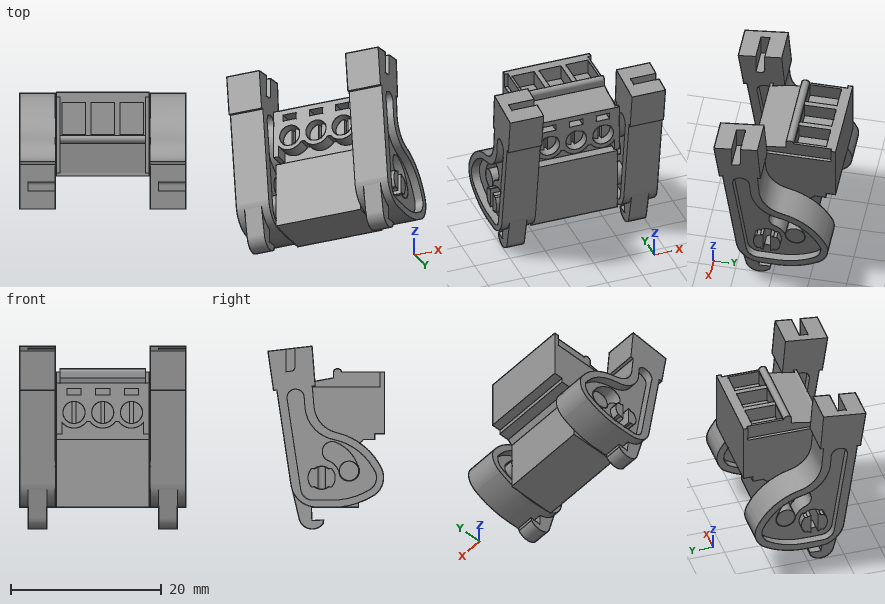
import cadquery as cq
import math


POLE_PITCH = 3.81
POLE_XS = [-POLE_PITCH, 0.0, POLE_PITCH]

HOUSING_WIDTH = 12.26
HOUSING_BACK_Y = 11.13
HOUSING_TOP_Z = 17.95
LOWER_FRONT_Y = 0.73
LEDGE_Z = 8.99
REAR_FOOT_Y = 7.68
REAR_CHAMFER = 0.65
REAR_STEP_Y = 9.82
REAR_STEP_Z = 9.75
PANEL_THICKNESS = 0.41
PANEL_TOP_Z = 16.45
SHOULDER_Z = 15.97
SHOULDER_WIDTH = 0.44
BACK_STRIP_Y = 10.50
BEAD_FRONT_Y = 4.34
BEAD_BACK_Y = 5.42
BEAD_HEIGHT = 0.45
BEAD_FOOT_Z = 17.17

POCKET_WIDTH = 3.11
POCKET_FRONT_Y = 5.49
POCKET_BACK_Y = 9.75
POCKET_DEPTH = 2.02
CLAMP_TOP_Z = HOUSING_TOP_Z - POCKET_DEPTH
TEST_SLOT_WIDTH = 1.88
TEST_SLOT_BOTTOM_Z = 14.87
TEST_SLOT_TOP_Z = 15.74
TEST_SLOT_DEPTH = 2.0

SCREW_Z = 12.58
SCREW_RADIUS = 1.46
SCREW_SUNK = 1.29
SCREW_SLOT_WIDTH = 0.48
SCREW_SLOT_DEPTH = 0.6
SCALLOP_RADIUS = 2.07
OPENING_DEPTH_Y = 2.03
OPENING_HALF_WIDTH = 5.43
OPENING_TOP_Z = 11.38
CLAMP_BOTTOM_Z = SCREW_Z - SCALLOP_RADIUS

OVERALL_WIDTH = 22.02
LEVER_WIDTH = 4.74
LEVER_XS = [-(OVERALL_WIDTH - LEVER_WIDTH) / 2, (OVERALL_WIDTH - LEVER_WIDTH) / 2]
PLATE_THICKNESS = 2.48
RECESS_DEPTH = (LEVER_WIDTH - PLATE_THICKNESS) / 2

RIM = 0.95
SHANK_RIM = 1.20
LEAN = math.radians(8.45)
NECK_LEAN = math.radians(5.0)
BACK_CENTER = (2.78, 1.29)
BACK_END_ANGLE = 30.0
NOSE_CENTER = (8.19, 3.95)
NOSE_RADIUS = 2.81
NOSE_START_ANGLE = 23.3
SOLE_CENTER = (4.20, 10.45)
CORNER_CENTER = (2.12, 3.50)
CORNER_RADIUS = 3.45
BEND_CENTER = (5.65, 13.70)
BEND_RADIUS = 3.90
RECESS_BEND_CENTER = (5.30, 13.65)
RECESS_BEND_RADIUS = 4.75
RECESS_CORNER_RADIUS = 1.60
RECESS_TOP_CENTER = (-0.67, 14.53)
RECESS_TOP_RADIUS = 1.14

HEAD_TOP_BACK = (1.52, 21.375)
HEAD_TOP_FRONT = (-4.35, 20.69)
HEAD_BOTTOM_FRONT = (-3.60, 15.49)
HEAD_BOTTOM_BACK = (1.94, 16.12)
NECK_TOP = (1.535, 16.07)
SHANK_TOP = (-3.17, 15.54)

HEAD_SLOT_BACK_Y = -0.77
HEAD_SLOT_WIDTH = 1.20
HEAD_SLOT_DEPTH = 3.0
HEAD_SLOT_FILLET = 0.48
TOP_OVERSHOOT = 1.0

HOOK_CENTER = (1.54, -1.075)
HOOK_RADIUS = 1.80
HOOK_LEAN = math.radians(12.5)
HOOK_ROOT_FRONT = (-1.145, 2.42)
HOOK_ROOT_BACK = (1.35, 2.39)
HOOK_THROAT = (1.51, -1.72)
HOOK_TIP = (3.06, -1.64)
HOOK_TIP_ANGLE = -36.0

PIVOT = (2.77, 3.93)
PIVOT_RADIUS = 1.50
PIVOT_HOLE_RADIUS = 1.54
PIVOT_SLIT = 0.98
LIP_RADIUS = 1.80
LIP_HALF_HEIGHT = 1.20
LIP_LENGTH = 1.05
GUIDE = (6.41, 4.84)
GUIDE_RADIUS = 1.29
GUIDE_HOLE_RADIUS = 1.36
TRACK_HALF_WIDTH = 1.315
TRACK_END_ANGLE = 68.0

PLATE_OUTER_X = OVERALL_WIDTH / 2 - RECESS_DEPTH


def polar(center, radius, degrees):
    angle = math.radians(degrees)
    return (center[0] + radius * math.cos(angle), center[1] + radius * math.sin(angle))


def angle_to(start, end):
    return math.degrees(math.atan2(end[1] - start[1], end[0] - start[0]))


def box(x_range, y_range, z_range):
    size = [high - low for low, high in (x_range, y_range, z_range)]
    corner = (x_range[0], y_range[0], z_range[0])
    return cq.Workplane("XY").box(*size, centered=False).translate(corner)


def rod(center, radius, x_start, x_end):
    """Cylinder along X around a (y, z) point."""
    return cq.Workplane("YZ", origin=(x_start, 0, 0)).center(*center).circle(radius).extrude(x_end - x_start)


def arc_on(path, center, radius, start, end):
    """Continue a path along a circle from one angle to another."""
    return path.threePointArc(polar(center, radius, (start + end) / 2), polar(center, radius, end))


def cam_path(x, bend_center, bend_radius, rim, corner_center, corner_radius):
    """Open outline from the neck around the cam to the foot of the front edge."""
    back_radius = math.dist(bend_center, BACK_CENTER) - bend_radius
    nose_radius = NOSE_RADIUS - rim
    sole_radius = math.dist(SOLE_CENTER, NOSE_CENTER) + nose_radius
    neck_angle = 180 + math.degrees(NECK_LEAN)
    back_angle = angle_to(BACK_CENTER, bend_center)
    sole_angle = angle_to(SOLE_CENTER, NOSE_CENTER)
    front_angle = -180 + math.degrees(LEAN)

    path = cq.Workplane("YZ", origin=(x, 0, 0)).moveTo(*polar(bend_center, bend_radius, neck_angle))
    path = arc_on(path, bend_center, bend_radius, neck_angle, back_angle + 180)
    path = arc_on(path, BACK_CENTER, back_radius, back_angle, BACK_END_ANGLE)
    path = path.lineTo(*polar(NOSE_CENTER, nose_radius, NOSE_START_ANGLE))
    path = arc_on(path, NOSE_CENTER, nose_radius, NOSE_START_ANGLE, sole_angle)
    path = arc_on(path, SOLE_CENTER, sole_radius, sole_angle, -90)
    path = path.lineTo(*polar(corner_center, corner_radius, -90))
    return arc_on(path, corner_center, corner_radius, -90, front_angle)


def lever_blank(x):
    path = cam_path(x, BEND_CENTER, BEND_RADIUS, 0.0, CORNER_CENTER, CORNER_RADIUS)
    head = [SHANK_TOP, HEAD_BOTTOM_FRONT, HEAD_TOP_FRONT, HEAD_TOP_BACK, HEAD_BOTTOM_BACK, NECK_TOP]
    for point in head:
        path = path.lineTo(*point)
    return path.close().extrude(LEVER_WIDTH)


def recess(x):
    """Pocket inside the rim, one RECESS_DEPTH deep from x."""
    sole_z = SOLE_CENTER[1] - math.dist(SOLE_CENTER, NOSE_CENTER) - NOSE_RADIUS + RIM
    corner_z = sole_z + RECESS_CORNER_RADIUS
    foot_y = CORNER_CENTER[0] - (CORNER_RADIUS - SHANK_RIM - RECESS_CORNER_RADIUS) / math.cos(LEAN)
    corner = (foot_y + (CORNER_CENTER[1] - corner_z) * math.tan(LEAN), corner_z)

    path = cam_path(x, RECESS_BEND_CENTER, RECESS_BEND_RADIUS, RIM, corner, RECESS_CORNER_RADIUS)
    front_angle = 180 + math.degrees(LEAN)
    neck_angle = math.degrees(NECK_LEAN)
    path = path.lineTo(*polar(RECESS_TOP_CENTER, RECESS_TOP_RADIUS, front_angle))
    path = arc_on(path, RECESS_TOP_CENTER, RECESS_TOP_RADIUS, front_angle, neck_angle)
    return path.close().extrude(RECESS_DEPTH)


def hook(x):
    front_angle = 180 + math.degrees(HOOK_LEAN)
    path = cq.Workplane("YZ", origin=(x, 0, 0)).moveTo(*HOOK_ROOT_FRONT)
    path = path.lineTo(*polar(HOOK_CENTER, HOOK_RADIUS, front_angle))
    path = arc_on(path, HOOK_CENTER, HOOK_RADIUS, front_angle, 360 + HOOK_TIP_ANGLE)
    for point in (HOOK_TIP, HOOK_THROAT, HOOK_ROOT_BACK):
        path = path.lineTo(*point)
    return path.close().extrude(PLATE_THICKNESS)


def guide_track(x):
    """Arched slot about the pivot in which the guide pin travels, with a round seat for the pin."""
    track_radius = math.dist(PIVOT, GUIDE)
    start = angle_to(PIVOT, GUIDE)
    middle = (start + TRACK_END_ANGLE) / 2
    inner = track_radius - TRACK_HALF_WIDTH
    outer = track_radius + TRACK_HALF_WIDTH
    far_end = polar(polar(PIVOT, track_radius, TRACK_END_ANGLE), TRACK_HALF_WIDTH, TRACK_END_ANGLE + 90)
    near_end = polar(GUIDE, TRACK_HALF_WIDTH, start - 90)
    track = (
        cq.Workplane("YZ", origin=(x, 0, 0))
        .moveTo(*polar(PIVOT, inner, start))
        .threePointArc(polar(PIVOT, inner, middle), polar(PIVOT, inner, TRACK_END_ANGLE))
        .threePointArc(far_end, polar(PIVOT, outer, TRACK_END_ANGLE))
        .threePointArc(polar(PIVOT, outer, middle), polar(PIVOT, outer, start))
        .threePointArc(near_end, polar(PIVOT, inner, start))
        .close()
        .extrude(LEVER_WIDTH)
    )
    return track.union(rod(GUIDE, GUIDE_HOLE_RADIUS, x, x + LEVER_WIDTH))


def head_slot(x_start, x_end):
    """Upright slot in the head, its floor parallel to the head's top face and filleted at the rear."""
    top_angle = angle_to(HEAD_TOP_FRONT, HEAD_TOP_BACK)
    slope = math.tan(math.radians(top_angle))
    front_y = HEAD_SLOT_BACK_Y - HEAD_SLOT_WIDTH
    open_z = HEAD_TOP_BACK[1] + TOP_OVERSHOOT
    floor_z = HEAD_TOP_FRONT[1] + slope * (front_y - HEAD_TOP_FRONT[0]) - HEAD_SLOT_DEPTH
    fillet_y = HEAD_SLOT_BACK_Y - HEAD_SLOT_FILLET
    fillet_z = floor_z + slope * (fillet_y - front_y) + HEAD_SLOT_FILLET / math.cos(math.radians(top_angle))
    fillet_center = (fillet_y, fillet_z)
    floor_angle = top_angle - 90

    path = cq.Workplane("YZ", origin=(x_start, 0, 0)).moveTo(front_y, open_z).lineTo(front_y, floor_z)
    path = path.lineTo(*polar(fillet_center, HEAD_SLOT_FILLET, floor_angle))
    path = arc_on(path, fillet_center, HEAD_SLOT_FILLET, floor_angle, 0)
    return path.lineTo(HEAD_SLOT_BACK_Y, open_z).close().extrude(x_end - x_start)


def make_lever(center_x):
    left = center_x - LEVER_WIDTH / 2
    right = center_x + LEVER_WIDTH / 2
    plate_left = left + RECESS_DEPTH
    body = lever_blank(left).union(hook(plate_left))
    body = body.cut(recess(left)).cut(recess(right - RECESS_DEPTH))
    body = body.cut(rod(PIVOT, PIVOT_HOLE_RADIUS, left, right))
    body = body.cut(guide_track(left))
    return body.cut(head_slot(plate_left, right))


def housing_lower():
    """Full width block up to the shoulders, with the stepped and chamfered rear."""
    half = HOUSING_WIDTH / 2
    outline = [
        (LOWER_FRONT_Y, 0),
        (REAR_FOOT_Y, 0),
        (REAR_FOOT_Y, LEDGE_Z - REAR_CHAMFER),
        (REAR_FOOT_Y + REAR_CHAMFER, LEDGE_Z),
        (REAR_STEP_Y, LEDGE_Z),
        (REAR_STEP_Y, REAR_STEP_Z),
        (HOUSING_BACK_Y, REAR_STEP_Z),
        (HOUSING_BACK_Y, SHOULDER_Z),
        (0, SHOULDER_Z),
        (0, LEDGE_Z),
        (LOWER_FRONT_Y, LEDGE_Z),
    ]
    return cq.Workplane("YZ", origin=(-half, 0, 0)).polyline(outline).close().extrude(HOUSING_WIDTH)


def housing_upper():
    """Narrower top with sloping roof and bead, the back strip and the front panel edge."""
    half = HOUSING_WIDTH / 2
    upper_half = half - SHOULDER_WIDTH
    bead_top = ((BEAD_FRONT_Y + BEAD_BACK_Y) / 2, HOUSING_TOP_Z + BEAD_HEIGHT)
    roof = (
        cq.Workplane("YZ", origin=(-upper_half, 0, 0))
        .moveTo(PANEL_THICKNESS, SHOULDER_Z)
        .lineTo(PANEL_THICKNESS, PANEL_TOP_Z)
        .lineTo(BEAD_FRONT_Y, BEAD_FOOT_Z)
        .lineTo(BEAD_FRONT_Y, HOUSING_TOP_Z)
        .threePointArc(bead_top, (BEAD_BACK_Y, HOUSING_TOP_Z))
        .lineTo(BACK_STRIP_Y, HOUSING_TOP_Z)
        .lineTo(BACK_STRIP_Y, SHOULDER_Z)
        .close()
        .extrude(2 * upper_half)
    )
    strip = box((-half, half), (BACK_STRIP_Y, HOUSING_BACK_Y), (SHOULDER_Z, HOUSING_TOP_Z))
    panel_edge = box((-half, half), (0, PANEL_THICKNESS), (SHOULDER_Z, PANEL_TOP_Z))
    return roof.union(strip).union(panel_edge)


def front_opening():
    """Space above the ledge, scalloped around the screws."""
    half = HOUSING_WIDTH / 2
    opening = box((-half, half), (0, OPENING_DEPTH_Y), (LEDGE_Z, REAR_STEP_Z))
    center = box((-OPENING_HALF_WIDTH, OPENING_HALF_WIDTH), (0, OPENING_DEPTH_Y), (LEDGE_Z, OPENING_TOP_Z))
    opening = opening.union(center)
    for x in POLE_XS:
        opening = opening.cut(screw_rod(x, SCALLOP_RADIUS, 0, OPENING_DEPTH_Y))
    return opening


def housing_pins(side):
    """Split pivot pin with snap lips and plain guide pin, side is -1 or 1."""
    wall = HOUSING_WIDTH / 2
    lip_end = PLATE_OUTER_X + LIP_LENGTH
    lips = rod(PIVOT, LIP_RADIUS, PLATE_OUTER_X, lip_end)
    lips = lips.intersect(
        box(
            (PLATE_OUTER_X, lip_end),
            (PIVOT[0] - LIP_RADIUS, PIVOT[0] + LIP_RADIUS),
            (PIVOT[1] - LIP_HALF_HEIGHT, PIVOT[1] + LIP_HALF_HEIGHT),
        )
    )
    slit_floor = PLATE_OUTER_X - PLATE_THICKNESS / 2
    slit = box(
        (slit_floor, lip_end),
        (PIVOT[0] - PIVOT_SLIT / 2, PIVOT[0] + PIVOT_SLIT / 2),
        (PIVOT[1] - LIP_RADIUS, PIVOT[1] + LIP_RADIUS),
    )
    slit_root = (
        cq.Workplane("XY", origin=(slit_floor, PIVOT[0], PIVOT[1] - LIP_RADIUS))
        .circle(PIVOT_SLIT / 2)
        .extrude(2 * LIP_RADIUS)
    )
    pivot = rod(PIVOT, PIVOT_RADIUS, wall, lip_end).union(lips).cut(slit).cut(slit_root)
    pins = pivot.union(rod(GUIDE, GUIDE_RADIUS, wall, PLATE_OUTER_X))
    return pins if side > 0 else pins.mirror("YZ")


def pole_cavities(x):
    """Wire pocket with its clamp seat, screw bore and test slot of one pole."""
    pocket = box(
        (x - POCKET_WIDTH / 2, x + POCKET_WIDTH / 2),
        (POCKET_FRONT_Y, POCKET_BACK_Y),
        (CLAMP_BOTTOM_Z, HOUSING_TOP_Z),
    )
    test_slot = box(
        (x - TEST_SLOT_WIDTH / 2, x + TEST_SLOT_WIDTH / 2),
        (0, TEST_SLOT_DEPTH),
        (TEST_SLOT_BOTTOM_Z, TEST_SLOT_TOP_Z),
    )
    return [pocket, test_slot, screw_rod(x, SCREW_RADIUS, 0, POCKET_FRONT_Y)]


def make_housing():
    body = housing_lower().union(housing_upper())
    body = body.cut(front_opening())
    for x in POLE_XS:
        for cavity in pole_cavities(x):
            body = body.cut(cavity)
    for side in (-1, 1):
        body = body.union(housing_pins(side))
    return body


def screw_rod(x, radius, y_start, y_end):
    """Cylinder along Y on the screw axis of the pole at x."""
    plane = cq.Workplane("XZ", origin=(x, y_start, SCREW_Z))
    return plane.circle(radius).extrude(y_start - y_end)


def make_screw(x):
    slot = box(
        (x - SCREW_SLOT_WIDTH / 2, x + SCREW_SLOT_WIDTH / 2),
        (SCREW_SUNK, SCREW_SUNK + SCREW_SLOT_DEPTH),
        (SCREW_Z - SCREW_RADIUS, SCREW_Z + SCREW_RADIUS),
    )
    return screw_rod(x, SCREW_RADIUS, SCREW_SUNK, POCKET_FRONT_Y).cut(slot)


def make_clamp(x):
    """Clamp block filling the lower part of a wire pocket."""
    return box(
        (x - POCKET_WIDTH / 2, x + POCKET_WIDTH / 2),
        (POCKET_FRONT_Y, POCKET_BACK_Y),
        (CLAMP_BOTTOM_Z, CLAMP_TOP_Z),
    )


housing = make_housing()
levers = [make_lever(x) for x in LEVER_XS]
screws = [make_screw(x) for x in POLE_XS]
clamps = [make_clamp(x) for x in POLE_XS]

result = cq.Compound.makeCompound([body.val() for body in [housing, *levers, *screws, *clamps]])